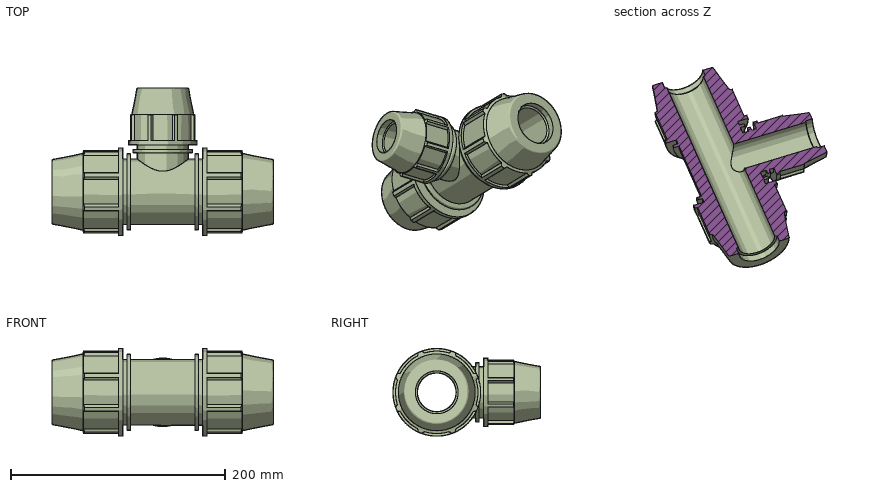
import cadquery as cq
import math

RUN = {
    "end": 103.5,
    "nose_radius": 30.2,
    "nose_fillet": 1.8,
    "taper_start": 74.7,
    "taper_radius": 35.9,
    "taper_hollow": 0.2,
    "rib_slope": 1.8,
    "flange_outer": 41.4,
    "flange_inner": 37.3,
    "flange_radius": 82 / 2,
    "panel_radius": 38.5,
    "ring_outer": 33.4,
    "ring_inner": 29.9,
    "ring_radius": 71.34 / 2,
    "body_radius": 61.5 / 2,
    "mouth_radius": 40 / 2,
    "bore_radius": 36 / 2,
}

BRANCH = {
    "end": 97.0,
    "nose_radius": 24.2,
    "nose_fillet": 1.5,
    "taper_start": 72.4,
    "taper_radius": 29.0,
    "taper_hollow": 0.2,
    "rib_slope": 0.8,
    "flange_outer": 47.7,
    "flange_inner": 43.8,
    "flange_radius": 64 / 2,
    "panel_radius": 29.7,
    "ring_outer": 39.6,
    "ring_inner": 36.3,
    "ring_radius": 55.68 / 2,
    "body_radius": 48 / 2,
    "mouth_radius": 32 / 2,
    "bore_radius": 28.8 / 2,
}

RIB_COUNT = 8
RIB_TOP_HALF_ANGLE = 2.6
RIB_BASE_HALF_ANGLE = 5.1
RING_FILLET = 0.9
MOUTH_DEPTH = 6.4
MOUTH_CHAMFER = 0.7


def polar(radius, degrees):
    angle = math.radians(degrees)
    return (radius * math.cos(angle), radius * math.sin(angle))


def revolve(profile):
    """Turn a (radius, length) profile about the Z axis."""
    return profile.close().revolve(360, (0, 0, 0), (0, 1, 0))


def nut_blank(p):
    """Flanged nut along +Z whose grip still has the full flange radius."""
    middle = (
        (p["nose_radius"] + p["taper_radius"]) / 2 - p["taper_hollow"],
        (p["end"] + p["taper_start"]) / 2,
    )
    blank = revolve(
        cq.Workplane("XZ")
        .moveTo(0, p["flange_inner"])
        .lineTo(p["flange_radius"], p["flange_inner"])
        .lineTo(p["flange_radius"], p["taper_start"] - p["rib_slope"])
        .lineTo(p["taper_radius"], p["taper_start"])
        .threePointArc(middle, (p["nose_radius"], p["end"]))
        .lineTo(0, p["end"])
    )
    return blank.faces(">Z").edges().fillet(p["nose_fillet"])


def panel_cutter(p):
    """One recess between two neighbouring ribs, centred on the local X axis."""
    half_pitch = 180 / RIB_COUNT
    base_angle = half_pitch - RIB_BASE_HALF_ANGLE
    top_angle = half_pitch - RIB_TOP_HALF_ANGLE
    base = polar(p["panel_radius"], base_angle)
    top = polar(p["flange_radius"], top_angle)
    outer = (2 * top[0] - base[0], 2 * top[1] - base[1])
    reach = math.hypot(*outer)
    return (
        cq.Workplane("XY", origin=(0, 0, p["flange_outer"]))
        .moveTo(base[0], -base[1])
        .threePointArc((p["panel_radius"], 0), base)
        .lineTo(*outer)
        .threePointArc((reach, 0), (outer[0], -outer[1]))
        .close()
        .extrude(p["taper_start"] - p["flange_outer"])
    )


def nut(p):
    """Flanged nut along +Z with ribs between recessed panels."""
    body = nut_blank(p)
    cutter = panel_cutter(p)
    for index in range(RIB_COUNT):
        body = body.cut(cutter.rotate((0, 0, 0), (0, 0, 1), index * 360 / RIB_COUNT))
    return body


def ring(p):
    """Collar on the body with rounded rims."""
    width = p["ring_outer"] - p["ring_inner"]
    collar = cq.Workplane("XY", origin=(0, 0, p["ring_inner"])).circle(p["ring_radius"]).extrude(width)
    return collar.edges().fillet(RING_FILLET)


def port(p):
    """Solid pipe, collar and nut along +Z, starting at the axis crossing."""
    pipe = cq.Workplane("XY").circle(p["body_radius"]).extrude(p["flange_inner"])
    return pipe.union(ring(p)).union(nut(p))


def port_bore(p):
    """Bore along +Z with a wider mouth that narrows through a cone."""
    mouth_floor = p["end"] - MOUTH_DEPTH
    return revolve(
        cq.Workplane("XZ")
        .lineTo(p["bore_radius"], 0)
        .lineTo(p["bore_radius"], mouth_floor - MOUTH_CHAMFER)
        .lineTo(p["mouth_radius"], mouth_floor)
        .lineTo(p["mouth_radius"], p["end"])
        .lineTo(0, p["end"])
    )


def toward_right(shape):
    return shape.rotate((0, 0, 0), (0, 1, 0), 90)


def toward_left(shape):
    return shape.rotate((0, 0, 0), (0, 1, 0), -90)


def toward_back(shape):
    return shape.rotate((0, 0, 0), (1, 0, 0), -90)


def at_both_run_ends(shape):
    return toward_right(shape).union(toward_left(shape))


solid = at_both_run_ends(port(RUN)).union(toward_back(port(BRANCH)))
bores = at_both_run_ends(port_bore(RUN)).union(toward_back(port_bore(BRANCH)))
result = solid.cut(bores)